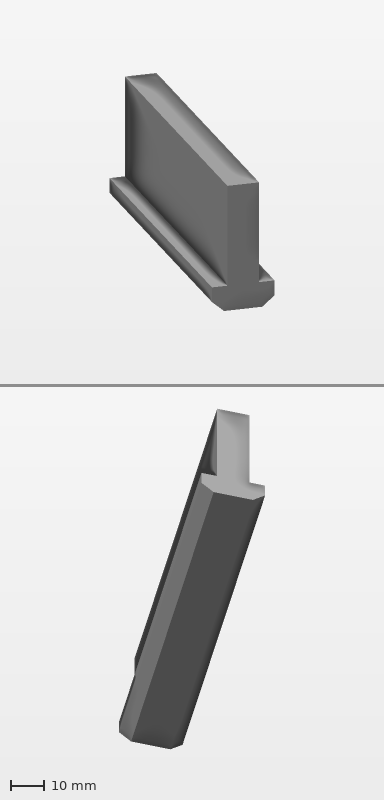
import cadquery as cq

length = 100.0
height = 40.0
web_width = 10.0
foot_width = 19.8
foot_height = 8.0
bevel_width = 3.8
bevel_height = 3.3

half_web = web_width / 2
half_foot = foot_width / 2
half_base = half_foot - bevel_width

half_profile = (
    cq.Workplane("YZ")
    .moveTo(0, 0)
    .lineTo(half_base, 0)
    .lineTo(half_foot, bevel_height)
    .lineTo(half_foot, foot_height)
    .lineTo(half_web, foot_height)
    .lineTo(half_web, height)
    .lineTo(0, height)
)

result = half_profile.mirrorY().extrude(length)